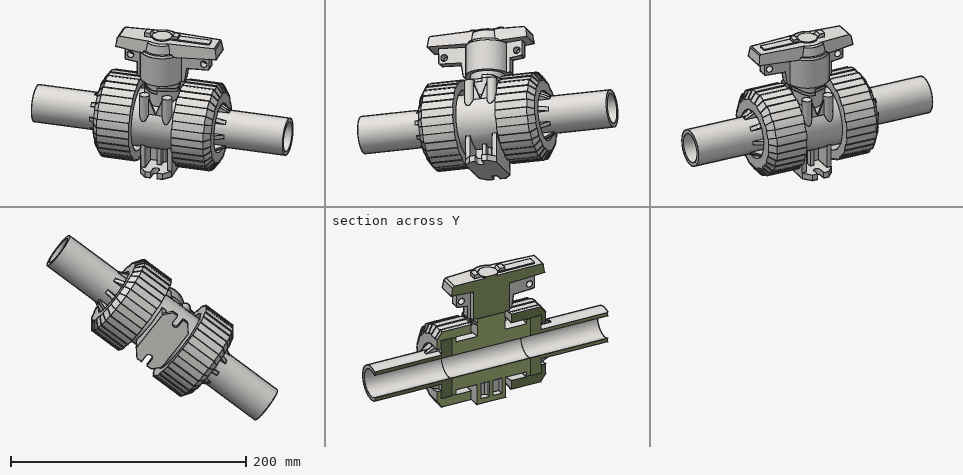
import cadquery as cq

LENGTH = 223.0
BORE_RADIUS = 12.7
PIPE_RADIUS = 16.0

BARREL_RADIUS = 24.8
BODY_END = 38.0
COLLAR_LENGTH = 4.5

NUT_INNER_END = 19.0
NUT_OUTER_END = 52.2
NUT_DIAMETER = 75.4
NUT_BORE_RADIUS = 29.0
NUT_OPENING_RADIUS = 21.5
NUT_WALL = 4.5
NUT_CHAMFER_LENGTH = 5.0
NUT_CHAMFER_HEIGHT = 6.7
FLUTE_COUNT = 16
FLUTE_WIDTH = 7.1
FLUTE_FLOOR = 36.5

CONNECTOR_RIB_COUNT = 8
CONNECTOR_RIB_THICKNESS = 3.5
CONNECTOR_RIB_BASE = 15.0
CONNECTOR_RIB_START = 59.8
CONNECTOR_RIB_HEIGHT = 21.2
CONNECTOR_RIB_SLOPE = 0.5

NECK_RADIUS = 15.0
HANDLE_BOTTOM = 41.0
CAM_COUNT = 4
CAM_RADIUS = 15.4
CAM_ROOT_RADIUS = 14.3
CAM_BOTTOM = 31.7
CAM_HEIGHT = 2.7
CAM_RISE = 3.1
CAM_LOW_ANGLE = 20.0
CAM_RAMP_ANGLE = 40.0

PILLAR_RADIUS = 4.2
PILLAR_X = 10.0
PILLAR_Y = 19.2
PILLAR_TOP = 31.7
GUSSET_FACE = 20.3
GUSSET_THICKNESS = 1.5
GUSSET_TOP = 30.5
GUSSET_BOTTOM = 14.3
GUSSET_HALF_WIDTH = 6.7

FOOT_BOTTOM = -43.5
FOOT_THICKNESS = 5.4
FOOT_LENGTH = 27.7
FOOT_WIDTH = 50.6
FOOT_CORNER_X = 6.0
FOOT_CORNER_Y = 7.0
SLOT_RADIUS = 3.0
SLOT_CENTRE = 18.7
PEDESTAL_WIDTH = 35.7
PEDESTAL_WALL = 4.0
PEDESTAL_WEB = 3.5
PEDESTAL_RIB_WIDTH = 18.7
PEDESTAL_POST_RADIUS = 4.5

HUB_RADIUS = 18.7
HUB_EDGE = 67.3
SHOULDER_RADIUS = 17.8
SHOULDER_Z = 69.4
CAP_BOTTOM_RADIUS = 16.5
CAP_BOTTOM = 69.8
CAP_EDGE_RADIUS = 15.0
CAP_EDGE = 77.4
CAP_TOP_RADIUS = 13.5
HANDLE_TOP = 79.0
BAR_LEFT = -38.8
BAR_RIGHT = 51.5
BAR_BASE = 66.7
BAR_END_BOTTOM = 69.4
BAR_END_KINK = 71.5
BAR_CHAMFER_BOTTOM = 77.0
BAR_CHAMFER_LENGTH = 2.0
BAR_LEAN_LEFT = 1.3
BAR_LEAN_RIGHT = 0.7
BAR_HALF_WIDTH_MIDDLE = 13.8
BAR_HALF_WIDTH_END = 10.7
BAR_DRAFT = 8.6
FIN_THICKNESS = 7.8
FIN_LEFT = -32.0
FIN_RIGHT = 42.8
FIN_TOP = 71.4
FIN_END_BOTTOM = 55.0
FIN_STEP_Z = 54.0
FIN_STEP_LEFT = -21.2
FIN_STEP_RIGHT = 22.7
FIN_FOOT_RIGHT = 21.0
FIN_CORNER = 1.0
FIN_HOLE_RADIUS = 3.0
FIN_HOLE_Z = 60.2
FIN_HOLES_X = (-27.2, 38.0)
DISC_RADIUS = 8.5
DISC_TOP = 80.0
STOP_TOP = 82.5
STOP_WIDTH = 7.1
STOP_OUTER = 14.7
STOP_INNER = 10.0
STOP_ROOT = 6.7
RAISED_STRIP_WIDTH = 7.5
MARK_BASE = 78.0


def cylinder_x(radius, start, end):
    """Cylinder on the pipe axis between two X positions."""
    return cq.Workplane("YZ").workplane(offset=start).circle(radius).extrude(end - start)


def plate_xz(points, thickness, y_middle=0.0):
    """Plate with an outline in X and Z, centred on a Y position."""
    plate = cq.Workplane("XZ").polyline(points).close().extrude(thickness / 2, both=True)
    return plate.translate((0, y_middle, 0))


def box_between(x_size, y_size, bottom, top):
    """Box centred on the Z axis between two heights."""
    return cq.Workplane("XY").workplane(offset=bottom).rect(x_size, y_size).extrude(top - bottom)


def cylinder_z(radius, bottom, top, x=0.0, y=0.0):
    """Upright cylinder between two heights."""
    return cq.Workplane("XY").workplane(offset=bottom).center(x, y).circle(radius).extrude(top - bottom)


def cam_section(bottom):
    """Cross-section of the cam lip in the XZ plane."""
    middle_radius = (CAM_ROOT_RADIUS + CAM_RADIUS) / 2
    plane = cq.Workplane("XZ").moveTo(middle_radius, bottom + CAM_HEIGHT / 2)
    return plane.rect(CAM_RADIUS - CAM_ROOT_RADIUS, CAM_HEIGHT)


def cam_tooth():
    """One quarter of the cam lip, rising clockwise from its low level to its high level."""
    high_angle = 360 / CAM_COUNT - CAM_LOW_ANGLE - CAM_RAMP_ANGLE
    low_lip = cam_section(CAM_BOTTOM).revolve(CAM_LOW_ANGLE, (0, 0, 0), (0, -1, 0))
    high_lip = cam_section(CAM_BOTTOM + CAM_RISE).revolve(high_angle, (0, 0, 0), (0, -1, 0))
    pitch = CAM_RISE * 360 / CAM_RAMP_ANGLE
    ramp_path = cq.Wire.makeHelix(pitch, CAM_RISE, NECK_RADIUS, lefthand=True)
    ramp = cam_section(0).sweep(cq.Workplane(ramp_path), isFrenet=True).translate((0, 0, CAM_BOTTOM))
    return [
        low_lip,
        ramp.rotate((0, 0, 0), (0, 0, 1), -CAM_LOW_ANGLE),
        high_lip.rotate((0, 0, 0), (0, 0, 1), -CAM_LOW_ANGLE - CAM_RAMP_ANGLE),
    ]


def notched_gusset(side):
    """Plate between two pillars with a V notch cut down to the barrel."""
    outline = [
        (-GUSSET_HALF_WIDTH, 0),
        (GUSSET_HALF_WIDTH, 0),
        (GUSSET_HALF_WIDTH, GUSSET_TOP),
        (0, GUSSET_BOTTOM),
        (-GUSSET_HALF_WIDTH, GUSSET_TOP),
    ]
    return plate_xz(outline, GUSSET_THICKNESS, side * (GUSSET_FACE - GUSSET_THICKNESS / 2))


def stem_tower():
    """Neck with its cam lip, the four pillars and the two gussets."""
    tower = cylinder_z(NECK_RADIUS, 0, HANDLE_BOTTOM)
    for piece in cam_tooth():
        for i in range(CAM_COUNT):
            tower = tower.union(piece.rotate((0, 0, 0), (0, 0, 1), i * 360 / CAM_COUNT))
    for side in (-1, 1):
        for x in (-PILLAR_X, PILLAR_X):
            tower = tower.union(cylinder_z(PILLAR_RADIUS, 0, PILLAR_TOP, x, side * PILLAR_Y))
        tower = tower.union(notched_gusset(side))
    return tower


def mounting_foot():
    """Slotted pad on a ribbed pedestal."""
    pad_top = FOOT_BOTTOM + FOOT_THICKNESS
    half_x = FOOT_LENGTH / 2
    half_y = FOOT_WIDTH / 2
    corner_x = half_x - FOOT_CORNER_X
    corner_y = half_y - FOOT_CORNER_Y
    outline = [
        (-half_x, -corner_y),
        (-corner_x, -half_y),
        (corner_x, -half_y),
        (half_x, -corner_y),
        (half_x, corner_y),
        (corner_x, half_y),
        (-corner_x, half_y),
        (-half_x, corner_y),
    ]
    foot = cq.Workplane("XY").workplane(offset=FOOT_BOTTOM).polyline(outline).close().extrude(FOOT_THICKNESS)
    slot_length = 2 * (half_y - SLOT_CENTRE)
    for side in (-1, 1):
        slot = (
            cq.Workplane("XY")
            .workplane(offset=FOOT_BOTTOM)
            .center(0, side * half_y)
            .slot2D(slot_length + 2 * SLOT_RADIUS, 2 * SLOT_RADIUS, 90)
            .extrude(FOOT_THICKNESS)
        )
        foot = foot.cut(slot)

    wall = box_between(PEDESTAL_WALL, PEDESTAL_WIDTH, pad_top, 0)
    for side in (-1, 1):
        foot = foot.union(wall.translate((side * (half_x - PEDESTAL_WALL / 2), 0, 0)))
    foot = foot.union(box_between(FOOT_LENGTH, PEDESTAL_WEB, pad_top, 0))
    foot = foot.union(box_between(PEDESTAL_WEB, PEDESTAL_RIB_WIDTH, pad_top, 0))
    return foot.union(cylinder_z(PEDESTAL_POST_RADIUS, pad_top, 0))


def valve_body():
    """Barrel with end collars, stem tower and foot, bored through."""
    collar_start = BODY_END - COLLAR_LENGTH
    barrel = cylinder_x(BARREL_RADIUS, -BODY_END, BODY_END)
    for start, end in ((-BODY_END, -collar_start), (collar_start, BODY_END)):
        barrel = barrel.union(cylinder_x(NUT_BORE_RADIUS, start, end))
    body = barrel.union(stem_tower()).union(mounting_foot())
    return body.cut(cylinder_x(BORE_RADIUS, -BODY_END, BODY_END))


def union_nut():
    """Fluted nut on the +X side, chamfered at its outer end."""
    radius = NUT_DIAMETER / 2
    chamfer_start = NUT_OUTER_END - NUT_CHAMFER_LENGTH
    wall_start = NUT_OUTER_END - NUT_WALL
    profile = [
        (NUT_INNER_END, NUT_BORE_RADIUS),
        (NUT_INNER_END, radius),
        (chamfer_start, radius),
        (NUT_OUTER_END, radius - NUT_CHAMFER_HEIGHT),
        (NUT_OUTER_END, NUT_OPENING_RADIUS),
        (wall_start, NUT_OPENING_RADIUS),
        (wall_start, NUT_BORE_RADIUS),
    ]
    nut = cq.Workplane("XY").polyline(profile).close().revolve(360, (0, 0, 0), (1, 0, 0))
    flute_outline = [
        (NUT_INNER_END, FLUTE_FLOOR),
        (chamfer_start, FLUTE_FLOOR),
        (NUT_OUTER_END, FLUTE_FLOOR - NUT_CHAMFER_HEIGHT),
        (NUT_OUTER_END, NUT_DIAMETER),
        (NUT_INNER_END, NUT_DIAMETER),
    ]
    flute = plate_xz(flute_outline, FLUTE_WIDTH)
    for i in range(FLUTE_COUNT):
        nut = nut.cut(flute.rotate((0, 0, 0), (1, 0, 0), i * 360 / FLUTE_COUNT))
    return nut


def end_connector():
    """Pipe stub on the +X side, with a flange held by the nut and ribs behind the flange."""
    flange_end = NUT_OUTER_END - NUT_WALL
    connector = cylinder_x(PIPE_RADIUS, BODY_END, LENGTH / 2)
    connector = connector.union(cylinder_x(NUT_BORE_RADIUS, BODY_END, flange_end))
    rib_crest = CONNECTOR_RIB_START - (CONNECTOR_RIB_HEIGHT - PIPE_RADIUS) / CONNECTOR_RIB_SLOPE
    rib_outline = [
        (BODY_END, CONNECTOR_RIB_BASE),
        (CONNECTOR_RIB_START, CONNECTOR_RIB_BASE),
        (CONNECTOR_RIB_START, PIPE_RADIUS),
        (rib_crest, CONNECTOR_RIB_HEIGHT),
        (BODY_END, CONNECTOR_RIB_HEIGHT),
    ]
    rib = plate_xz(rib_outline, CONNECTOR_RIB_THICKNESS)
    for i in range(CONNECTOR_RIB_COUNT):
        connector = connector.union(rib.rotate((0, 0, 0), (1, 0, 0), i * 360 / CONNECTOR_RIB_COUNT))
    return connector.cut(cylinder_x(BORE_RADIUS, BODY_END, LENGTH / 2))


def handle_hub():
    """Round hub with a stepped shoulder and a conical cap."""
    profile = [
        (0, HANDLE_BOTTOM),
        (HUB_RADIUS, HANDLE_BOTTOM),
        (HUB_RADIUS, HUB_EDGE),
        (SHOULDER_RADIUS, SHOULDER_Z),
        (CAP_BOTTOM_RADIUS, CAP_BOTTOM),
        (CAP_EDGE_RADIUS, CAP_EDGE),
        (CAP_TOP_RADIUS, HANDLE_TOP),
        (0, HANDLE_TOP),
    ]
    return cq.Workplane("XZ").polyline(profile).close().revolve(360, (0, 0, 0), (0, 1, 0))


def handle_bar():
    """Bar tapering to both ends, with drafted sides and chamfered ends."""
    plan = [
        (BAR_LEFT, -BAR_HALF_WIDTH_END),
        (0, -BAR_HALF_WIDTH_MIDDLE),
        (BAR_RIGHT, -BAR_HALF_WIDTH_END),
        (BAR_RIGHT, BAR_HALF_WIDTH_END),
        (0, BAR_HALF_WIDTH_MIDDLE),
        (BAR_LEFT, BAR_HALF_WIDTH_END),
    ]
    chamfer_left = BAR_LEFT + BAR_LEAN_LEFT
    chamfer_right = BAR_RIGHT - BAR_LEAN_RIGHT
    side_profile = [
        (BAR_LEFT, BAR_END_BOTTOM),
        (0, BAR_BASE),
        (BAR_RIGHT, BAR_END_BOTTOM),
        (chamfer_right, BAR_CHAMFER_BOTTOM),
        (chamfer_right - BAR_CHAMFER_LENGTH, HANDLE_TOP),
        (chamfer_left + BAR_CHAMFER_LENGTH, HANDLE_TOP),
        (chamfer_left, BAR_CHAMFER_BOTTOM),
        (BAR_LEFT, BAR_END_KINK),
    ]
    block = (
        cq.Workplane("XY")
        .workplane(offset=BAR_BASE)
        .polyline(plan)
        .close()
        .extrude(HANDLE_TOP - BAR_BASE, taper=BAR_DRAFT)
    )
    return block.intersect(plate_xz(side_profile, 4 * BAR_HALF_WIDTH_MIDDLE))


def handle_fin():
    """Plate under the bar with a hole near each end."""
    outline = [
        (FIN_LEFT, FIN_TOP),
        (FIN_LEFT, FIN_END_BOTTOM + FIN_CORNER),
        (FIN_LEFT + FIN_CORNER, FIN_END_BOTTOM),
        (FIN_STEP_LEFT, FIN_STEP_Z),
        (FIN_STEP_LEFT, HANDLE_BOTTOM + FIN_CORNER),
        (FIN_STEP_LEFT + FIN_CORNER, HANDLE_BOTTOM),
        (FIN_FOOT_RIGHT - FIN_CORNER, HANDLE_BOTTOM),
        (FIN_FOOT_RIGHT, HANDLE_BOTTOM + FIN_CORNER),
        (FIN_STEP_RIGHT, FIN_STEP_Z),
        (FIN_RIGHT - FIN_CORNER, FIN_END_BOTTOM),
        (FIN_RIGHT, FIN_END_BOTTOM + FIN_CORNER),
        (FIN_RIGHT, FIN_TOP),
    ]
    fin = plate_xz(outline, FIN_THICKNESS)
    holes = (
        cq.Workplane("XZ")
        .pushPoints([(x, FIN_HOLE_Z) for x in FIN_HOLES_X])
        .circle(FIN_HOLE_RADIUS)
        .extrude(FIN_THICKNESS, both=True)
    )
    return fin.cut(holes)


def handle():
    """Hub, bar and fin, with the marks raised on top."""
    lever = handle_hub().union(handle_bar()).union(handle_fin())
    lever = lever.union(cylinder_z(DISC_RADIUS, HUB_EDGE, DISC_TOP))
    for side in (-1, 1):
        stop = [
            (side * DISC_RADIUS, DISC_TOP),
            (side * STOP_INNER, STOP_TOP),
            (side * STOP_OUTER, STOP_TOP),
            (side * STOP_OUTER, MARK_BASE),
            (side * STOP_ROOT, MARK_BASE),
            (side * STOP_ROOT, DISC_TOP),
        ]
        lever = lever.union(plate_xz(stop, STOP_WIDTH))
    strip_length = FIN_RIGHT - STOP_INNER
    strip = box_between(strip_length, RAISED_STRIP_WIDTH, MARK_BASE, DISC_TOP)
    return lever.union(strip.translate((STOP_INNER + strip_length / 2, 0, 0)))


right_nut = union_nut()
right_connector = end_connector()
bodies = [valve_body(), handle()]
for part in (right_nut, right_connector):
    bodies.append(part)
    bodies.append(part.mirror("YZ"))
result = cq.Compound.makeCompound([body.solids().val() for body in bodies])